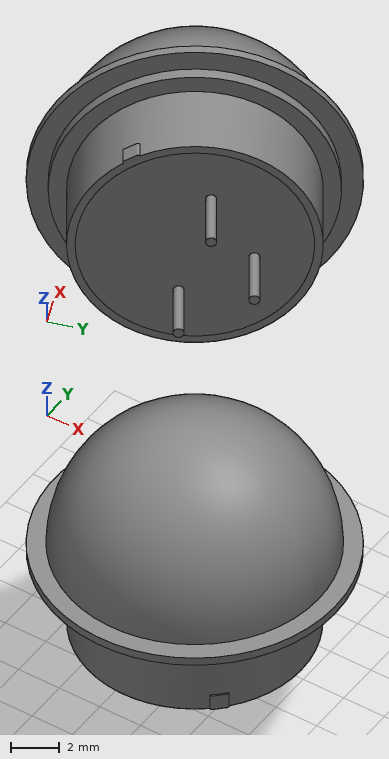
import cadquery as cq

overall_height = 13.25
dome_radius = 12.19 / 2
flange_radius = 13.8 / 2
flange_top_z = overall_height - dome_radius
flange_thickness = 0.4
flange_bottom_z = flange_top_z - flange_thickness
collar_radius = 12.0 / 2
collar_height = 0.52
collar_bottom_z = flange_bottom_z - collar_height

can_radius = 10.5 / 2
can_bottom_z = 2.73
tab_angle = -45
tab_width = 0.8
tab_height = 0.76
tab_protrusion = 0.07
tab_corner_radius = 0.1
tab_inner_radius = 5.04

header_radius = 9.8 / 2
header_thickness = tab_height
header_top_z = can_bottom_z + header_thickness
pin_radius = 0.45 / 2
pin_circle_radius = 2.53
pin_angles = (0, 90, 180)


def disc(radius, bottom_z, top_z):
    return cq.Workplane("XY").workplane(offset=bottom_z).circle(radius).extrude(top_z - bottom_z)


def make_lens():
    dome = (
        cq.Workplane("XZ")
        .moveTo(0, flange_top_z)
        .lineTo(dome_radius, flange_top_z)
        .radiusArc((0, overall_height), -dome_radius)
        .close()
        .revolve(360, (0, 0, 0), (0, 1, 0))
    )
    flange = disc(flange_radius, flange_bottom_z, flange_top_z)
    collar = disc(collar_radius, collar_bottom_z, flange_bottom_z)
    return dome.union(flange).union(collar)


def make_tab():
    tab_length = can_radius + tab_protrusion - tab_inner_radius
    return (
        cq.Workplane("XY")
        .box(tab_length, tab_width, tab_height, centered=(False, True, False))
        .edges("|Z and >X")
        .fillet(tab_corner_radius)
        .translate((tab_inner_radius, 0, can_bottom_z))
        .rotate((0, 0, 0), (0, 0, 1), tab_angle)
    )


def make_can():
    shell = disc(can_radius, can_bottom_z, collar_bottom_z)
    header_recess = disc(header_radius, can_bottom_z, header_top_z)
    return shell.union(make_tab()).cut(header_recess)


def make_header():
    header = disc(header_radius, can_bottom_z, header_top_z)
    for angle in pin_angles:
        pin = disc(pin_radius, 0, can_bottom_z).translate((pin_circle_radius, 0, 0))
        header = header.union(pin.rotate((0, 0, 0), (0, 0, 1), angle))
    return header


lens = make_lens().solids()
can = make_can().solids()
header = make_header().solids()

result = cq.Compound.makeCompound([lens.val(), can.val(), header.val()])